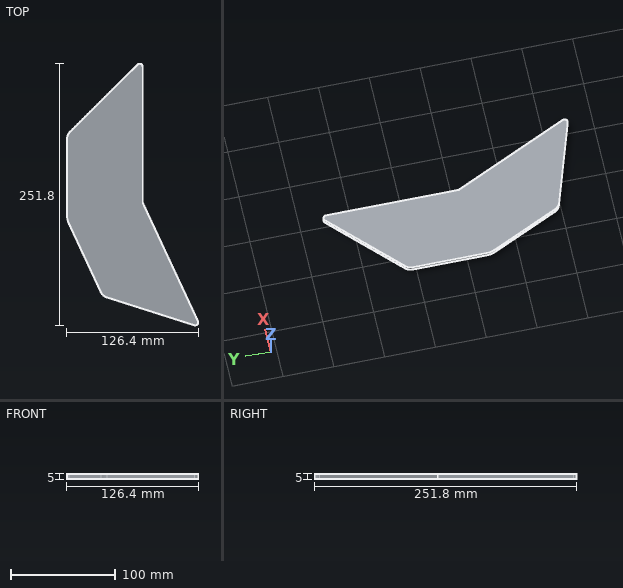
import cadquery as cq
import math

thickness = 5.0
strip_width = 73.0
outer_edge_length = 81.3
bend_angle = 25.0
upper_end_angle = 44.9
lower_end_angle = 17.7
bend_height = 102.0
overall_length = 251.7

tip_radius = 3.0
end_corner_radius = 10.0
bend_radius = 17.5

bend = math.radians(bend_angle)
upper_slope = math.tan(math.radians(upper_end_angle))
lower_slope = math.tan(math.radians(lower_end_angle))
lower_edge_slope = 1 / math.tan(bend)

outer_bend = (0, 0)
upper_corner = (0, outer_edge_length)
upper_tip = (strip_width, outer_edge_length + strip_width * upper_slope)
inner_bend = (strip_width, strip_width * math.tan(bend / 2))
lower_corner = (outer_edge_length * math.sin(bend), -outer_edge_length * math.cos(bend))

lower_tip_x = (
    inner_bend[1] + lower_edge_slope * inner_bend[0] - lower_corner[1] - lower_slope * lower_corner[0]
) / (lower_edge_slope - lower_slope)
lower_tip = (lower_tip_x, lower_corner[1] - lower_slope * (lower_tip_x - lower_corner[0]))

plate = (
    cq.Workplane("XY")
    .polyline([outer_bend, upper_corner, upper_tip, inner_bend, lower_tip, lower_corner])
    .close()
    .extrude(thickness)
)


def round_corners(body, corners, radius):
    """Round the upright edges standing on the given corners."""
    edges = cq.Workplane("XY")
    for x, y in corners:
        nearest = cq.selectors.NearestToPointSelector((x, y, thickness / 2))
        edges = edges.add(body.edges("|Z").edges(nearest))
    return body.newObject(edges.vals()).fillet(radius)


plate = round_corners(plate, [upper_tip, lower_tip], tip_radius)
plate = round_corners(plate, [upper_corner, lower_corner], end_corner_radius)
plate = round_corners(plate, [outer_bend], bend_radius)

result = plate.translate((0, bend_height - overall_length / 2, 0))